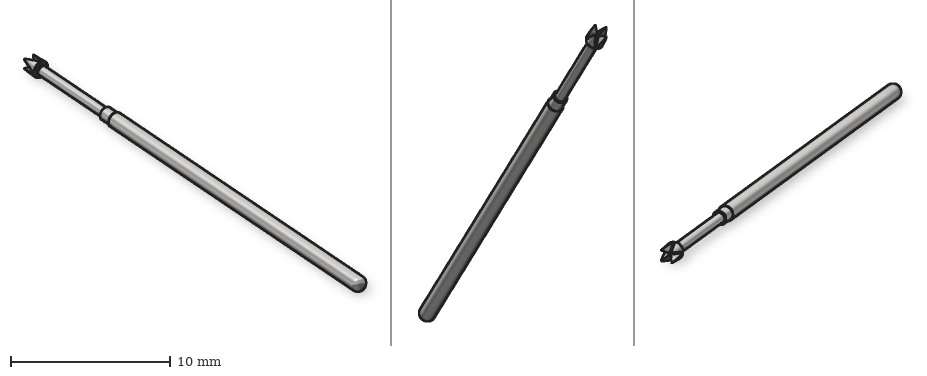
import cadquery as cq

total_length = 33.02

crown_diameter = 1.17
crown_length = 1.15
tip_diameter = 1.06
neck_diameter = 0.78
neck_length = 0.17

groove_count = 4
groove_center_depth = 0.43
groove_rim_depth = 1.08
groove_bottom_width = 0.1
tooth_land_start = 0.45

plunger_diameter = 0.69
collar_start = 7.6
collar_diameter = 0.94
collar_length = 0.7
shoulder_length = 0.19
shoulder_diameter = 0.97
barrel_diameter = 1.06
barrel_end_fillet = 0.36

crown_radius = crown_diameter / 2
tip_radius = tip_diameter / 2
neck_radius = neck_diameter / 2
plunger_radius = plunger_diameter / 2
collar_radius = collar_diameter / 2
shoulder_radius = shoulder_diameter / 2
barrel_radius = barrel_diameter / 2
neck_end = crown_length + neck_length
collar_end = collar_start + collar_length
barrel_start = collar_end + shoulder_length


def make_body():
    """Revolve the stepped probe profile about the X axis."""
    profile = [
        (0, 0),
        (0, tip_radius),
        (crown_length, crown_radius),
        (crown_length, neck_radius),
        (neck_end, neck_radius),
        (neck_end, plunger_radius),
        (collar_start, plunger_radius),
        (collar_start, collar_radius),
        (collar_end, collar_radius),
        (barrel_start, shoulder_radius),
        (barrel_start, barrel_radius),
        (total_length, barrel_radius),
        (total_length, 0),
    ]
    body = cq.Workplane("XY").polyline(profile).close().revolve(360, (0, 0), (1, 0))
    return body.faces(">X").edges().fillet(barrel_end_fillet)


def make_groove_cutter():
    """Flat-bottomed V prism whose bottom slopes backward from the axis to the crown rim on -Y."""
    slope = (groove_rim_depth - groove_center_depth) / crown_radius
    half_bottom = groove_bottom_width / 2
    land_offset = tooth_land_start * 0.5 ** 0.5
    land_depth = groove_center_depth + slope * land_offset
    wall_steepness = land_depth / (land_offset - half_bottom)
    reach = 2 * crown_radius
    height = groove_center_depth + slope * reach
    half_mouth = half_bottom + height / wall_steepness
    front = groove_center_depth - height
    section = cq.Wire.makePolygon(
        [
            cq.Vector(groove_center_depth, 0, half_bottom),
            cq.Vector(front, 0, half_mouth),
            cq.Vector(front, 0, -half_mouth),
            cq.Vector(groove_center_depth, 0, -half_bottom),
        ],
        close=True,
    )
    return cq.Solid.extrudeLinear(section, [], cq.Vector(slope * reach, -reach, 0))


def cut_crown(body):
    """Cut the evenly spaced grooves that leave the narrow teeth."""
    cutter = cq.Workplane(obj=make_groove_cutter())
    for index in range(groove_count):
        angle = index * 360 / groove_count
        body = body.cut(cutter.rotate((0, 0, 0), (1, 0, 0), angle))
    return body


result = cut_crown(make_body())